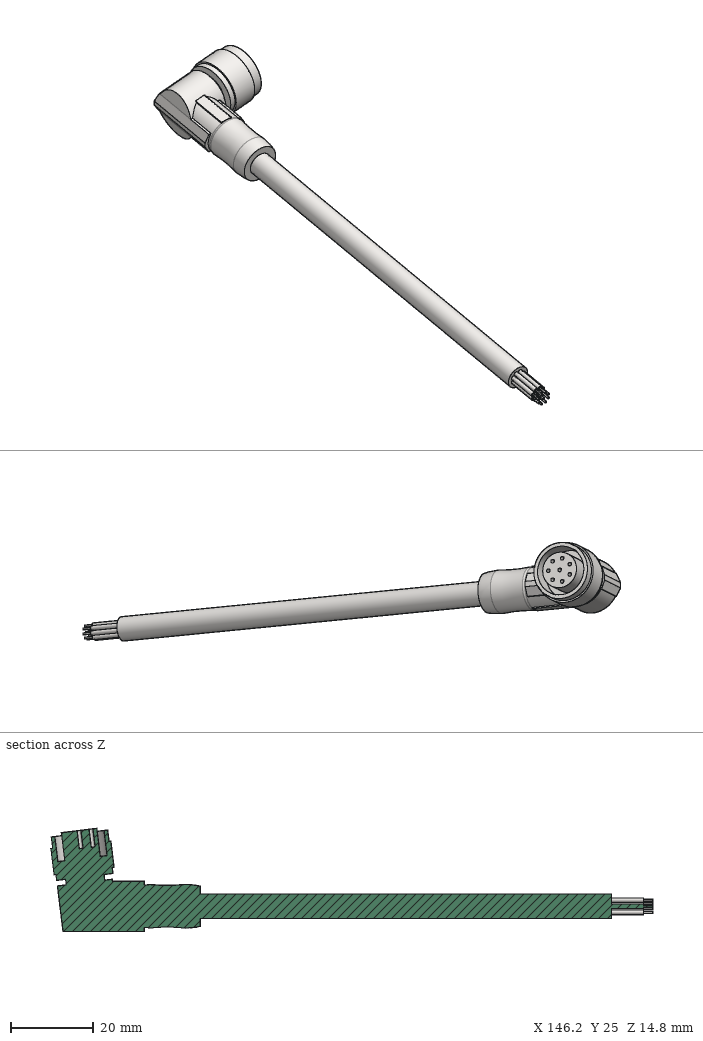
import cadquery as cq
import math


overall_length = 146.2

nut_tilt = 7.0
elbow_radius = 6.6
elbow_top = 5.8
neck_radius = 9.5 / 2
nut_bottom = 7.2
nut_body_bottom = 8.6
nut_body_top = 15.0
nut_top = 17.8
nut_radius = 14.8 / 2
nut_end_radius = 13.9 / 2
nut_bore_radius = 6.0
nut_bore_floor = 11.7

insert_radius = 4.4
insert_top = 18.5
contact_circle_radius = 2.9
outer_contact_count = 7
contact_hole_radius = 0.5
contact_hole_depth = 4.4

rib_crest_width = 1.3
rib_base_width = 5.7
rib_base_height = 5.0
rib_height = 6.1
underside_edge_height = 4.2
elbow_rib_base_height = 6.1
elbow_rib_height = 6.9
rib_end = 13.6
upper_rib_start = 5.4

sleeve_radius = 10.4 / 2
grip_start = 14.8
grip_end = 23.5
grip_edge_radius = 10.7 / 2
grip_waist_radius = 10.2 / 2
sleeve_end = 27.2
sleeve_end_radius = 9.8 / 2
sleeve_end_bulge = 0.12
pad_width = 3.0
pad_height = 5.3
pad_end = 14.2

cable_radius = 6.0 / 2
cable_end = 127.0
outer_wire_count = 8
wire_circle_radius = 1.6
wire_radius = 0.6
wire_end = 134.8
conductor_radius = 0.26

tilt = math.radians(nut_tilt)
nut_reach = nut_radius * math.cos(tilt) + nut_body_top * math.sin(tilt)
conductor_end = overall_length - nut_reach


def disc(radius, bottom, top):
    """Cylinder on the Y axis between two heights."""
    return cq.Workplane("XZ", origin=(0, bottom, 0)).circle(radius).extrude(bottom - top)


def rod(radius, start, end, y=0, z=0):
    """Cylinder parallel to X between two positions."""
    return cq.Workplane("YZ", origin=(start, y, z)).circle(radius).extrude(end - start)


def lean(body):
    """Turn a body built on the Y axis onto the nut axis."""
    return body.rotate((0, 0, 0), (0, 0, 1), nut_tilt)


def wedge_points(base_height, crest_height):
    """Rib section as (height, z) pairs, starting at the axis."""
    return [
        (0, -rib_base_width / 2),
        (base_height, -rib_base_width / 2),
        (crest_height, -rib_crest_width / 2),
        (crest_height, rib_crest_width / 2),
        (base_height, rib_base_width / 2),
        (0, rib_base_width / 2),
    ]


def cable_rib(start, end, side):
    """Rib along X, on the +Y (side = 1) or -Y (side = -1) face of the sleeve."""
    points = [(side * height, z) for height, z in wedge_points(rib_base_height, rib_height)]
    return cq.Workplane("YZ", origin=(start, 0, 0)).polyline(points).close().extrude(end - start)


def make_elbow():
    """Cylinder and outer rib on the nut axis, trimmed by the sloped underside."""
    reach = 2 * elbow_radius
    points = [(-height, -z) for height, z in wedge_points(elbow_rib_base_height, elbow_rib_height)]
    outer_rib = (
        cq.Workplane("XZ", origin=(0, -reach, 0)).polyline(points).close().extrude(-reach - elbow_top)
    )
    body = lean(disc(elbow_radius, -reach, elbow_top).union(outer_rib))
    section = [
        (reach, -elbow_radius),
        (-underside_edge_height, -elbow_radius),
        (-rib_base_height, -rib_base_width / 2),
        (-rib_height, -rib_crest_width / 2),
        (-rib_height, rib_crest_width / 2),
        (-rib_base_height, rib_base_width / 2),
        (-underside_edge_height, elbow_radius),
        (reach, elbow_radius),
    ]
    envelope = cq.Workplane("YZ").polyline(section).close().extrude(reach, both=True)
    return body.intersect(envelope)


def make_sleeve():
    grip_middle = (grip_start + grip_end) / 2
    cap_middle = (grip_end + sleeve_end) / 2
    cap_middle_radius = (grip_edge_radius + sleeve_end_radius) / 2 + sleeve_end_bulge
    sleeve = (
        cq.Workplane("XY")
        .lineTo(0, sleeve_radius)
        .lineTo(pad_end, sleeve_radius)
        .lineTo(grip_start, grip_edge_radius)
        .threePointArc((grip_middle, grip_waist_radius), (grip_end, grip_edge_radius))
        .threePointArc((cap_middle, cap_middle_radius), (sleeve_end, sleeve_end_radius))
        .lineTo(sleeve_end, 0)
        .close()
        .revolve(360, (0, 0, 0), (1, 0, 0))
    )
    pads = cq.Workplane("XY").box(pad_end, pad_width, 2 * pad_height, centered=(False, True, True))
    return sleeve.union(pads)


def make_insert():
    """Contact face with a ring of holes around a central one."""
    hole = disc(contact_hole_radius, insert_top - contact_hole_depth, insert_top)
    insert = disc(insert_radius, nut_bottom, insert_top).cut(hole)
    for index in range(outer_contact_count):
        angle = 2 * math.pi * index / outer_contact_count
        x = contact_circle_radius * math.cos(angle)
        z = contact_circle_radius * math.sin(angle)
        insert = insert.cut(hole.translate((x, 0, z)))
    return insert


def make_nut():
    nut = (
        disc(nut_end_radius, nut_bottom, nut_top)
        .union(disc(nut_radius, nut_body_bottom, nut_body_top))
        .cut(disc(nut_bore_radius, nut_bore_floor, nut_top))
    )
    neck = disc(neck_radius, 0, nut_body_bottom)
    return lean(nut.union(make_insert()).union(neck))


def make_wire(y, z):
    """Insulated wire with its stripped tip."""
    wire = rod(wire_radius, cable_end, wire_end, y, z)
    return wire.union(rod(conductor_radius, wire_end, conductor_end, y, z))


def make_cable():
    cable = rod(cable_radius, 0, cable_end).union(make_wire(0, 0))
    for index in range(outer_wire_count):
        angle = 2 * math.pi * (index + 0.5) / outer_wire_count
        y = wire_circle_radius * math.cos(angle)
        z = wire_circle_radius * math.sin(angle)
        cable = cable.union(make_wire(y, z))
    return cable


result = (
    make_sleeve()
    .union(make_elbow())
    .union(cable_rib(0, rib_end, -1))
    .union(cable_rib(upper_rib_start, rib_end, 1))
    .union(make_nut())
    .union(make_cable())
)